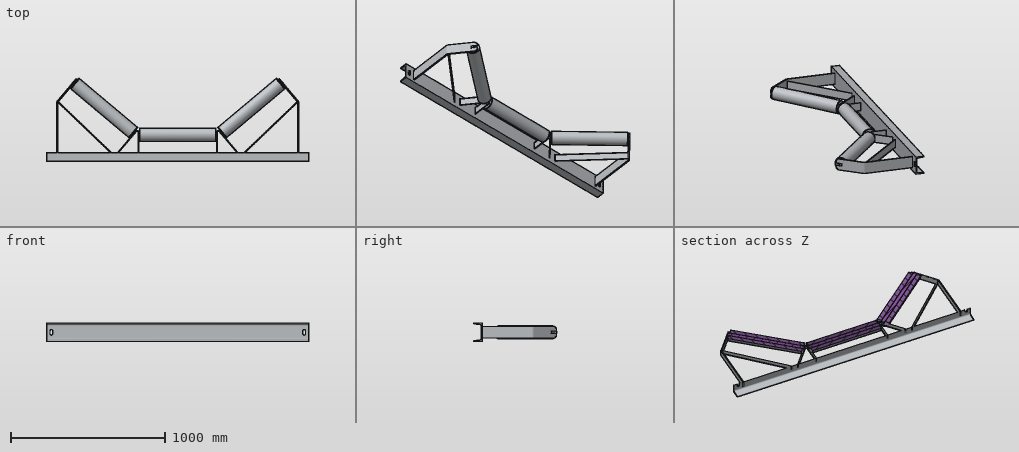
import cadquery as cq
import math


BEAM_LENGTH = 1700.0
BEAM_DEPTH = 120.0
BEAM_WIDTH = 56.0
WEB_THICKNESS = 7.6
FLANGE_TIP_THICKNESS = 7.0
FLANGE_ROOT_THICKNESS = 11.0
FLANGE_ROOT_FILLET = 8.0
FLANGE_TIP_FILLET = 4.5
MOUNT_SLOT_LENGTH = 35.0
MOUNT_SLOT_WIDTH = 15.0
MOUNT_SLOT_FROM_END = 30.0

ROLLER_DIAMETER = 88.0
ROLLER_LENGTH = 498.0
ROLLER_END_LENGTH = 5.0
ROLLER_END_DIAMETER = 87.0
ROLLER_GAP = 3.0
SHAFT_DIAMETER = 20.0
SHAFT_FLATS_WIDTH = 15.0
CENTRE_AXIS_HEIGHT = 115.0
TROUGH_ANGLE = 40.0

OUTER_BRACKET_WIDTH = 76.0
INNER_BRACKET_WIDTH = 55.0
INNER_PLATE = 6.0
INNER_BEND_RADIUS = 12.0
SHAFT_BELOW_BEND = 17.0
OUTER_PLATE = 9.4
OUTER_BEND_RADIUS = 17.0
OUTER_POST_FACE = 785.0
OUTER_TIP_ABOVE_AXIS = 30.0
OUTER_TIP_CHAMFER = 14.0
BRACE_PLATE = 6.0
BRACE_WIDTH = 55.0
BRACE_FOOT_X = 428.0
BRACE_TOP_HEIGHT = 333.0
SLOT_CUT_HEIGHT = 51.0

COS = math.cos(math.radians(TROUGH_ANGLE))
SIN = math.sin(math.radians(TROUGH_ANGLE))


def wing_point(origin, along, across):
    """Point reached from origin by going outward along the wing axis and up across it (-X side)."""
    return (
        origin[0] - along * COS + across * SIN,
        origin[1] + along * SIN + across * COS,
    )


PLATE_FROM_CENTRE = ROLLER_LENGTH / 2 + ROLLER_GAP
INNER_POST_FACE = -PLATE_FROM_CENTRE
BEND_CENTRE = (INNER_POST_FACE - INNER_BEND_RADIUS, CENTRE_AXIS_HEIGHT + SHAFT_BELOW_BEND)
WING_INNER_END = wing_point(BEND_CENTRE, INNER_BEND_RADIUS + ROLLER_GAP, -SHAFT_BELOW_BEND)
WING_CENTRE = wing_point(WING_INNER_END, ROLLER_LENGTH / 2, 0)

CENTRE_PLANE = cq.Plane((0, CENTRE_AXIS_HEIGHT, 0), xDir=(0, 0, -1), normal=(1, 0, 0))
LEFT_PLANE = cq.Plane((*WING_CENTRE, 0), xDir=(0, 0, -1), normal=(COS, -SIN, 0))
RIGHT_PLANE = cq.Plane((-WING_CENTRE[0], WING_CENTRE[1], 0), xDir=(0, 0, 1), normal=(-COS, -SIN, 0))


def plate(points, width):
    """Flat outline in X-Y, extruded symmetrically about Z = 0."""
    return cq.Workplane("XY", origin=(0, 0, -width / 2)).polyline(points).close().extrude(width)


def nearest_to(point):
    return cq.selectors.NearestToPointSelector(point)


def fillet_edge(body, direction, point, radius):
    """Rounds the one edge in the given direction that lies nearest to the point."""
    return body.edges(direction).edges(nearest_to(point)).fillet(radius)


def make_beam():
    """Channel lying on its web, open towards -Y, with a mounting slot near each end."""
    half = BEAM_DEPTH / 2
    root = half - FLANGE_ROOT_THICKNESS
    tip = half - FLANGE_TIP_THICKNESS
    outline = [
        (0, -half), (-BEAM_WIDTH, -half), (-BEAM_WIDTH, -tip), (-WEB_THICKNESS, -root),
        (-WEB_THICKNESS, root), (-BEAM_WIDTH, tip), (-BEAM_WIDTH, half), (0, half),
    ]
    beam = (
        cq.Workplane("YZ", origin=(-BEAM_LENGTH / 2, 0, 0))
        .polyline(outline)
        .close()
        .extrude(BEAM_LENGTH)
    )

    for side in (-1, 1):
        beam = fillet_edge(beam, "|X", (0, -WEB_THICKNESS, side * root), FLANGE_ROOT_FILLET)
        beam = fillet_edge(beam, "|X", (0, -BEAM_WIDTH, side * tip), FLANGE_TIP_FILLET)

    slot_x = BEAM_LENGTH / 2 - MOUNT_SLOT_FROM_END
    slots = (
        cq.Workplane("XZ")
        .pushPoints([(-slot_x, 0), (slot_x, 0)])
        .slot2D(MOUNT_SLOT_LENGTH, MOUNT_SLOT_WIDTH, 90)
        .extrude(BEAM_WIDTH)
        .translate((0, BEAM_WIDTH / 2, 0))
    )
    return beam.cut(slots)


def shaft_slot(plane, start, end):
    """Open-topped slot cutter, from start to end along the shaft axis."""
    half_width = SHAFT_FLATS_WIDTH / 2
    bottom = -SHAFT_DIAMETER / 2
    return (
        cq.Workplane(plane)
        .workplane(offset=start)
        .moveTo(-half_width, bottom)
        .lineTo(half_width, bottom)
        .lineTo(half_width, SLOT_CUT_HEIGHT)
        .lineTo(-half_width, SLOT_CUT_HEIGHT)
        .close()
        .extrude(end - start)
    )


def make_inner_bracket():
    """Inverted V: an upright post and a leg square to the wing axis, joined by a round bend."""
    inner_radius = INNER_BEND_RADIUS - INNER_PLATE
    mid_angle = math.radians((180 - TROUGH_ANGLE) / 2)

    def leg_top(radius):
        return wing_point(BEND_CENTRE, radius, 0)

    def leg_foot(radius):
        x, y = leg_top(radius)
        return (x - y * SIN / COS, 0)

    def bend_middle(radius):
        return (
            BEND_CENTRE[0] + radius * math.cos(mid_angle),
            BEND_CENTRE[1] + radius * math.sin(mid_angle),
        )

    bracket = (
        cq.Workplane("XY", origin=(0, 0, -INNER_BRACKET_WIDTH / 2))
        .moveTo(INNER_POST_FACE, 0)
        .lineTo(INNER_POST_FACE, BEND_CENTRE[1])
        .threePointArc(bend_middle(INNER_BEND_RADIUS), leg_top(INNER_BEND_RADIUS))
        .lineTo(*leg_foot(INNER_BEND_RADIUS))
        .lineTo(*leg_foot(inner_radius))
        .lineTo(*leg_top(inner_radius))
        .threePointArc(bend_middle(inner_radius), (INNER_POST_FACE - INNER_PLATE, BEND_CENTRE[1]))
        .lineTo(INNER_POST_FACE - INNER_PLATE, 0)
        .close()
        .extrude(INNER_BRACKET_WIDTH)
    )
    slot_end = PLATE_FROM_CENTRE + INNER_BEND_RADIUS
    bracket = bracket.cut(shaft_slot(CENTRE_PLANE, -PLATE_FROM_CENTRE, -slot_end))
    return bracket.cut(shaft_slot(LEFT_PLANE, PLATE_FROM_CENTRE, slot_end))


def make_outer_bracket():
    """Upright post bent inward so that its top part is square to the wing axis."""
    face = ROLLER_LENGTH + ROLLER_GAP
    tip_inner = wing_point(WING_INNER_END, face, OUTER_TIP_ABOVE_AXIS)
    tip_outer = wing_point(WING_INNER_END, face + OUTER_PLATE, OUTER_TIP_ABOVE_AXIS)

    def bend_corner(tip, post_x):
        return (post_x, tip[1] - (tip[0] - post_x) * COS / SIN)

    post_inner = -OUTER_POST_FACE + OUTER_PLATE
    outer_corner = bend_corner(tip_outer, -OUTER_POST_FACE)
    inner_corner = bend_corner(tip_inner, post_inner)
    bracket = plate(
        [(-OUTER_POST_FACE, 0), outer_corner, tip_outer, tip_inner, inner_corner, (post_inner, 0)],
        OUTER_BRACKET_WIDTH,
    )
    bracket = fillet_edge(bracket, "|Z", (*outer_corner, 0), OUTER_BEND_RADIUS)
    bracket = fillet_edge(bracket, "|Z", (*inner_corner, 0), OUTER_BEND_RADIUS - OUTER_PLATE)
    tip_edges = cq.selectors.ParallelDirSelector(LEFT_PLANE.zDir)
    for side in (-1, 1):
        tip_corner = (*tip_outer, side * OUTER_BRACKET_WIDTH / 2)
        bracket = bracket.edges(tip_edges).edges(nearest_to(tip_corner)).chamfer(OUTER_TIP_CHAMFER)

    return bracket.cut(shaft_slot(LEFT_PLANE, -PLATE_FROM_CENTRE, -PLATE_FROM_CENTRE - OUTER_PLATE))


def make_brace():
    """Flat strip from the bend of the outer bracket down to the beam."""
    post_inner = -OUTER_POST_FACE + OUTER_PLATE
    slope = math.atan2(BRACE_TOP_HEIGHT, post_inner + BRACE_FOOT_X)
    foot_length = BRACE_PLATE / abs(math.sin(slope))
    drop = BRACE_PLATE / abs(math.cos(slope))
    return plate(
        [
            (-BRACE_FOOT_X, 0),
            (post_inner, BRACE_TOP_HEIGHT),
            (post_inner, BRACE_TOP_HEIGHT - drop),
            (-BRACE_FOOT_X - foot_length, 0),
        ],
        BRACE_WIDTH,
    )


def make_frame():
    """Beam and all brackets welded into one body."""
    side = make_outer_bracket().union(make_brace()).union(make_inner_bracket())
    return make_beam().union(side).union(side.mirror("YZ"))


def rod(plane, diameter, length):
    """Plain cylinder centred on the origin of the plane."""
    return cq.Workplane(plane).workplane(offset=-length / 2).circle(diameter / 2).extrude(length)


def make_roller(plane):
    """Cylinder with a slightly smaller shoulder at each end, bored for the shaft."""
    shell = rod(plane, ROLLER_DIAMETER, ROLLER_LENGTH - 2 * ROLLER_END_LENGTH)
    ends = rod(plane, ROLLER_END_DIAMETER, ROLLER_LENGTH)
    return shell.union(ends).cut(rod(plane, SHAFT_DIAMETER, ROLLER_LENGTH))


def make_shaft(plane, start_plate, end_plate):
    """Round shaft whose ends have two flats that fit the slots of plates of the given thicknesses."""
    core = rod(plane, SHAFT_DIAMETER, ROLLER_LENGTH)
    start = PLATE_FROM_CENTRE + start_plate
    length = start + PLATE_FROM_CENTRE + end_plate
    end_plane = cq.Workplane(plane).workplane(offset=-start)
    full_round = end_plane.circle(SHAFT_DIAMETER / 2).extrude(length)
    flats = end_plane.rect(SHAFT_FLATS_WIDTH, SHAFT_DIAMETER).extrude(length)
    return full_round.intersect(flats).union(core)


frame = make_frame()
rollers = []
shafts = []
for plane, start_plate in (
    (LEFT_PLANE, OUTER_PLATE),
    (CENTRE_PLANE, INNER_PLATE),
    (RIGHT_PLANE, OUTER_PLATE),
):
    rollers.append(make_roller(plane).val())
    shafts.append(make_shaft(plane, start_plate, INNER_PLATE).val())

result = cq.Compound.makeCompound([frame.val(), *rollers, *shafts])